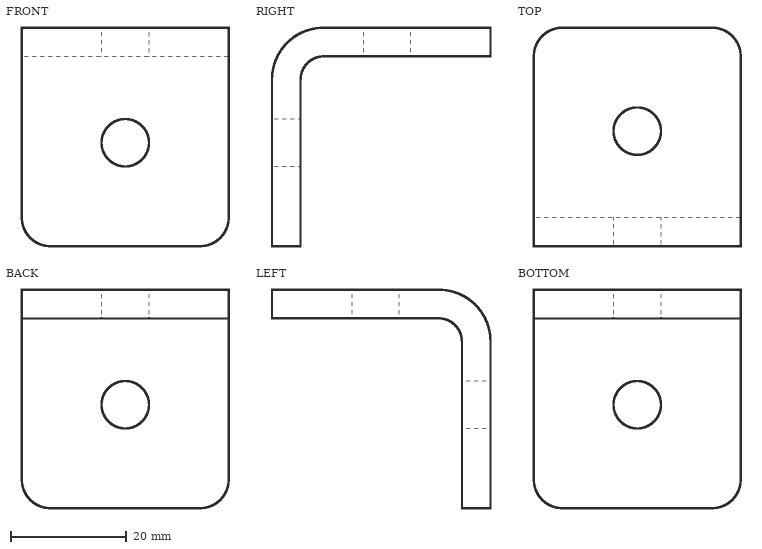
import cadquery as cq

leg_length = 38.0
width = 36.0
thickness = 5.0
outer_bend_radius = 9.0
corner_radius = 5.0
hole_diameter = 8.2

inner_bend_radius = outer_bend_radius - thickness
hole_offset = leg_length - width / 2


def bent_strip():
    """L-shaped strip, centred on X, with the outside of the bend at Y = 0, Z = 0."""
    strip = (
        cq.Workplane("YZ")
        .polyline([
            (0, 0),
            (leg_length, 0),
            (leg_length, -thickness),
            (thickness, -thickness),
            (thickness, -leg_length),
            (0, -leg_length),
        ])
        .close()
        .extrude(width / 2, both=True)
    )
    outer_bend_edge = cq.selectors.NearestToPointSelector((0, 0, 0))
    inner_bend_edge = cq.selectors.NearestToPointSelector((0, thickness, -thickness))
    strip = strip.edges("|X").edges(outer_bend_edge).fillet(outer_bend_radius)
    return strip.edges("|X").edges(inner_bend_edge).fillet(inner_bend_radius)


def round_free_corners(strip):
    """Round the two corners at the free end of each leg."""
    strip = strip.faces(">Y").edges("|Z").fillet(corner_radius)
    return strip.faces("<Z").edges("|Y").fillet(corner_radius)


def leg_holes():
    """Cutters for the hole through each leg."""
    radius = hole_diameter / 2
    top_hole = cq.Workplane("XY").center(0, hole_offset).circle(radius).extrude(-thickness)
    front_hole = cq.Workplane("XZ").center(0, -hole_offset).circle(radius).extrude(-thickness)
    return top_hole.union(front_hole)


result = round_free_corners(bent_strip()).cut(leg_holes())